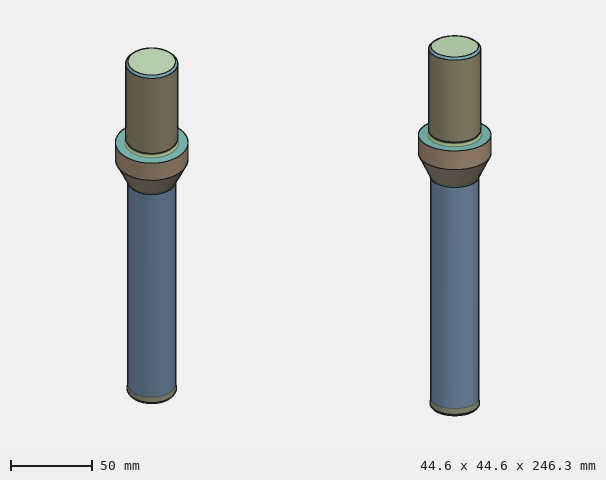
import cadquery as cq

total_length = 246.3
tip_height = 5.2
tip_chamfer_height = 1.5
cone_bottom = 158.0
cone_blend_height = 1.2
cone_height = 14.8
collar_height = 12.8
neck_height = 2.0

barrel_radius = 14.8
cone_bottom_radius = 15.3
tip_radius = 15.3
tip_chamfer = 1.0
collar_radius = 22.29
neck_radius = 15.0
neck_fillet = 1.5
shank_radius = 16.0
shank_chamfer = 1.5

cone_top = cone_bottom + cone_height
collar_top = cone_top + collar_height
shank_bottom = collar_top + neck_height
shank_lower_edge = shank_bottom + shank_radius - neck_radius


def revolve_outline(outline):
    """Revolve a closed outline, drawn as radius and height, around the Z axis."""
    return outline.revolve(360, (0, 0), (0, 1))


def make_shank():
    """Collar, undercut neck and straight chamfered shank."""
    outline = (
        cq.Workplane("XZ")
        .moveTo(0, cone_top)
        .lineTo(collar_radius, cone_top)
        .lineTo(collar_radius, collar_top)
        .lineTo(neck_radius + neck_fillet, collar_top)
        .radiusArc((neck_radius, collar_top + neck_fillet), neck_fillet)
        .lineTo(neck_radius, shank_bottom)
        .lineTo(shank_radius, shank_lower_edge)
        .lineTo(shank_radius, total_length - shank_chamfer)
        .lineTo(shank_radius - shank_chamfer, total_length)
        .lineTo(0, total_length)
        .close()
    )
    return revolve_outline(outline)


def make_barrel():
    """Long barrel with a slightly flared, chamfered tip and a cone that meets the collar."""
    outline = (
        cq.Workplane("XZ")
        .moveTo(0, 0)
        .lineTo(tip_radius - tip_chamfer, 0)
        .lineTo(tip_radius, tip_chamfer_height)
        .lineTo(barrel_radius, tip_height)
        .lineTo(barrel_radius, cone_bottom - cone_blend_height)
        .lineTo(cone_bottom_radius, cone_bottom)
        .lineTo(collar_radius, cone_top)
        .lineTo(0, cone_top)
        .close()
    )
    return revolve_outline(outline)


shank = make_shank()
barrel = make_barrel()
result = cq.Compound.makeCompound([shank.val(), barrel.val()])